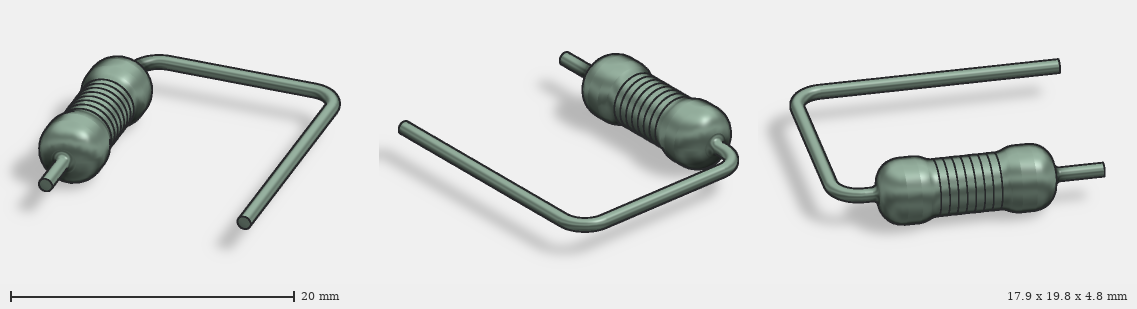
import cadquery as cq
import math

wire_radius = 1.0 / 2
lead_pitch = 15.0
lead_height = 19.8
bend_radius = 2.0

body_middle = 9.94
cap_radius = 4.8 / 2
core_radius = 4.08 / 2
band_radius = 4.1 / 2
band_count = 4
band_width = 0.63
core_half_length = (2 * band_count - 1) * band_width / 2
cap_inner = 3.62
cap_outer = 4.67
cap_end = 6.35
fillet_radius = 0.44
fillet_end = cap_end + fillet_radius
flare_radius = wire_radius + fillet_radius


def make_wire():
    """Round wire swept along two legs, a bridge and two quarter bends."""
    top = lead_height - wire_radius
    bend_start = top - bend_radius
    bend_inset = bend_radius * (1 - math.sqrt(0.5))
    path = (
        cq.Workplane("XY")
        .lineTo(0, bend_start)
        .threePointArc((bend_inset, top - bend_inset), (bend_radius, top))
        .lineTo(lead_pitch - bend_radius, top)
        .threePointArc((lead_pitch - bend_inset, top - bend_inset), (lead_pitch, bend_start))
        .lineTo(lead_pitch, 0)
    )
    return cq.Workplane("XZ").circle(wire_radius).sweep(path)


def make_half_body():
    """Half of the body: core, S-shaped neck, rounded cap and end flare."""
    neck_radius = (core_radius + cap_radius) / 2
    neck_middle = (core_half_length + cap_inner) / 2
    flare_inset = fillet_radius * (1 - math.sqrt(0.5))
    return (
        cq.Workplane("XY")
        .lineTo(core_radius, 0)
        .lineTo(core_radius, core_half_length)
        .tangentArcPoint((neck_radius, neck_middle), relative=False)
        .tangentArcPoint((cap_radius, cap_inner), relative=False)
        .lineTo(cap_radius, cap_outer)
        .tangentArcPoint((flare_radius, cap_end), relative=False)
        .threePointArc(
            (wire_radius + flare_inset, cap_end + flare_inset),
            (wire_radius, fillet_end),
        )
        .lineTo(0, fillet_end)
        .close()
        .revolve(360, (0, 0), (0, 1))
    )


def make_band(index):
    """One slightly raised colour band; bands and gaps have equal width."""
    start = -core_half_length + 2 * index * band_width
    return cq.Workplane("XZ", origin=(0, start, 0)).circle(band_radius).extrude(-band_width)


half_body = make_half_body()
body = half_body.union(half_body.mirror("XZ"))
for band_index in range(band_count):
    body = body.union(make_band(band_index))

result = make_wire().union(body.translate((0, body_middle, 0)))